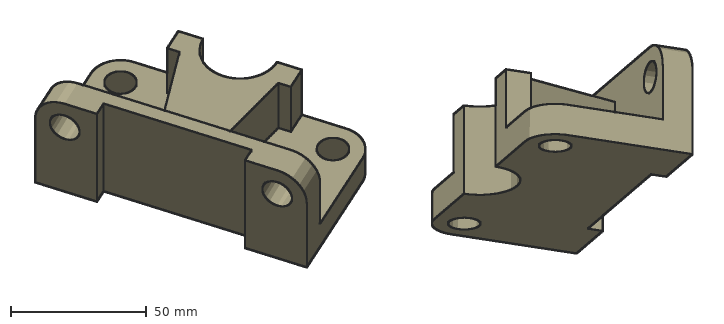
import cadquery as cq

width = 110.0
depth = 62.0
height = 45.0

thickness = 12.0
corner_radius = 12.0
hole_diameter = 12.0
hole_x = width / 2 - corner_radius

saddle_width = 50.0
saddle_depth = 10.0
saddle_top = 35.0
bore_radius = 15.0

rib_back_half_width = 20.0
rib_wall_left = -9.9
rib_wall_right = 12.6

recess_width = 60.0
recess_depth = 6.0


def box(size_x, y_start, size_y, size_z):
    """Block centred on X, standing on the bottom plane."""
    block = cq.Workplane("XY").box(size_x, size_y, size_z, centered=(True, False, False))
    return block.translate((0, y_start, 0))


def make_base():
    plate = box(width, 0, depth, thickness).edges("|Z and >Y").fillet(corner_radius)
    holes = (
        cq.Workplane("XY")
        .pushPoints([(side * hole_x, depth - corner_radius) for side in (-1, 1)])
        .circle(hole_diameter / 2)
        .extrude(thickness)
    )
    return plate.cut(holes)


def make_wall():
    wall = box(width, 0, thickness, height).edges("|Y and >Z").fillet(corner_radius)
    holes = (
        cq.Workplane("XZ")
        .pushPoints([(side * hole_x, height - corner_radius) for side in (-1, 1)])
        .circle(hole_diameter / 2)
        .extrude(-thickness)
    )
    return wall.cut(holes)


def make_rib():
    saddle_front = depth - saddle_depth
    outline = [
        (-rib_back_half_width, saddle_front),
        (rib_back_half_width, saddle_front),
        (rib_wall_right, thickness),
        (rib_wall_left, thickness),
    ]
    return cq.Workplane("XY").polyline(outline).close().extrude(saddle_top)


saddle = box(saddle_width, depth - saddle_depth, saddle_depth, saddle_top)
bore = cq.Workplane("XY").center(0, depth).circle(bore_radius).extrude(saddle_top)
recess = box(recess_width, 0, recess_depth, height)

result = make_base().union(make_wall()).union(make_rib()).union(saddle).cut(bore).cut(recess)